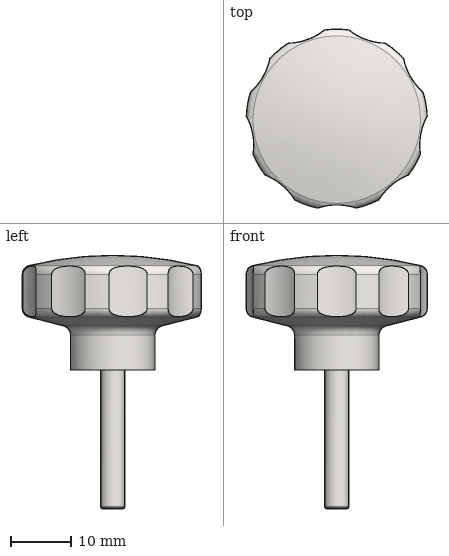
import cadquery as cq
import math

head_radius = 15.0
head_height = 19.0
rim_bottom = 9.05
rim_top = 17.0
rim_fillet = 1.5

hub_radius = 7.0
hub_height = 7.0
hub_fillet = 1.5

grip_count = 9
grip_radius = 10.0
grip_width = 6.4
first_grip_angle = -90.0
half_grip_width = grip_width / 2
grip_center_distance = math.sqrt(head_radius**2 - half_grip_width**2) + math.sqrt(
    grip_radius**2 - half_grip_width**2
)

stud_radius = 2.0
stud_length = 23.0
tip_height = 0.3
tip_middle_radius = 1.86
tip_middle_height = 0.1
tip_end_radius = 1.63


def make_head():
    """Revolve the hub, cone, rim and dome, then round the rim and the hub root."""
    dome_rise = head_height - rim_top
    dome_radius = (head_radius**2 + dome_rise**2) / (2 * dome_rise)
    half_radius = head_radius / 2
    dome_mid_height = head_height - dome_radius + math.sqrt(dome_radius**2 - half_radius**2)
    head = (
        cq.Workplane("XZ")
        .moveTo(0, 0)
        .lineTo(hub_radius, 0)
        .lineTo(hub_radius, hub_height)
        .lineTo(head_radius, rim_bottom)
        .lineTo(head_radius, rim_top)
        .threePointArc((half_radius, dome_mid_height), (0, head_height))
        .close()
        .revolve(360, (0, 0, 0), (0, 1, 0))
    )
    for corner_height, corner_fillet in (
        (rim_top, rim_fillet),
        (rim_bottom, rim_fillet),
        (hub_height, hub_fillet),
    ):
        corner = cq.selectors.NearestToPointSelector((0, 0, corner_height))
        head = head.edges("%CIRCLE").edges(corner).fillet(corner_fillet)
    return head


def make_grip_cutters():
    """Upright cylinders evenly spaced around the rim."""
    return (
        cq.Workplane("XY")
        .polarArray(grip_center_distance, first_grip_angle, 360, grip_count)
        .circle(grip_radius)
        .extrude(head_height)
    )


def make_stud():
    """Revolve the round stud with its two-step chamfered tip."""
    return (
        cq.Workplane("XZ")
        .moveTo(0, 0)
        .lineTo(stud_radius, 0)
        .lineTo(stud_radius, tip_height - stud_length)
        .lineTo(tip_middle_radius, tip_middle_height - stud_length)
        .lineTo(tip_end_radius, -stud_length)
        .lineTo(0, -stud_length)
        .close()
        .revolve(360, (0, 0, 0), (0, 1, 0))
    )


result = make_head().cut(make_grip_cutters()).union(make_stud())